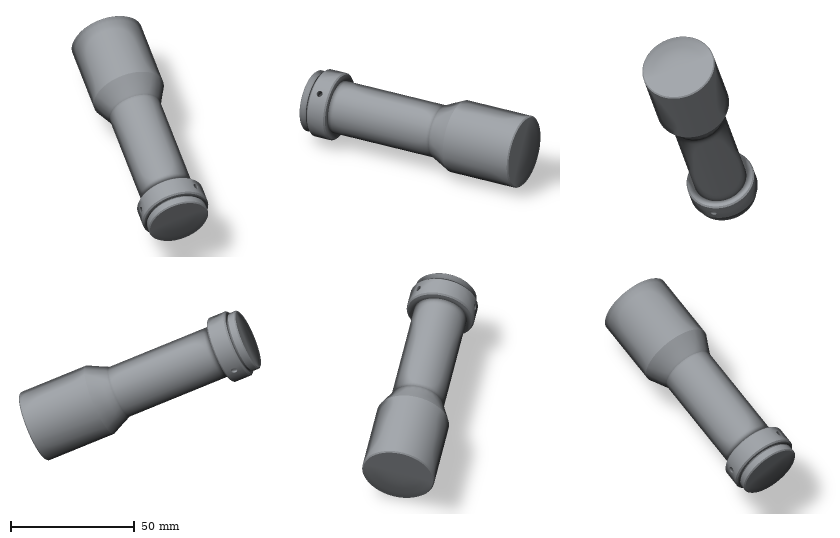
import cadquery as cq
import math

total_length = 96.2
head_diameter = 30.0
head_length = 29.6
head_chamfer = 0.5
taper_length = 8.7
tube_diameter = 21.8
collar_start = 84.0
collar_length = 8.3
collar_diameter = 28.1
collar_chamfer = 0.6
neck_length = 0.9
neck_diameter = 24.05
flange_diameter = 25.4
flange_chamfer = 0.5

hole_count = 3
hole_diameter = 2.5
hole_depth = 2.9
drill_point_angle = 118.0
hole_x = 88.2
first_hole_angle = 45.0

taper_end = head_length + taper_length
collar_end = collar_start + collar_length
flange_start = collar_end + neck_length


def cylinder(start, end, diameter):
    """Solid cylinder along X between two axial positions."""
    return cq.Workplane("YZ", origin=(start, 0, 0)).circle(diameter / 2).extrude(end - start)


def screw_hole(angle):
    """Blind radial hole cutter with a conical floor, at an angle about the X axis."""
    hole_radius = hole_diameter / 2
    wall_end = collar_diameter / 2 - hole_depth
    tip = wall_end - hole_radius / math.tan(math.radians(drill_point_angle / 2))
    half_profile = [
        (hole_x, tip),
        (hole_x + hole_radius, wall_end),
        (hole_x + hole_radius, collar_diameter),
        (hole_x, collar_diameter),
    ]
    cutter = cq.Workplane("XY").polyline(half_profile).close().revolve(360, (hole_x, 0, 0), (hole_x, 1, 0))
    return cutter.rotate((0, 0, 0), (1, 0, 0), angle)


head = cylinder(0, head_length, head_diameter).faces("<X").chamfer(head_chamfer)

taper = (
    cq.Workplane("YZ", origin=(head_length, 0, 0))
    .circle(head_diameter / 2)
    .workplane(offset=taper_length)
    .circle(tube_diameter / 2)
    .loft()
)

tube = cylinder(taper_end, collar_start, tube_diameter)

collar = cylinder(collar_start, collar_end, collar_diameter).faces("<X or >X").chamfer(collar_chamfer)
for index in range(hole_count):
    collar = collar.cut(screw_hole(first_hole_angle + index * 360 / hole_count))

neck = cylinder(collar_end, flange_start, neck_diameter)
flange = cylinder(flange_start, total_length, flange_diameter).faces(">X").chamfer(flange_chamfer)

result = head.union(taper).union(tube).union(collar).union(neck).union(flange)